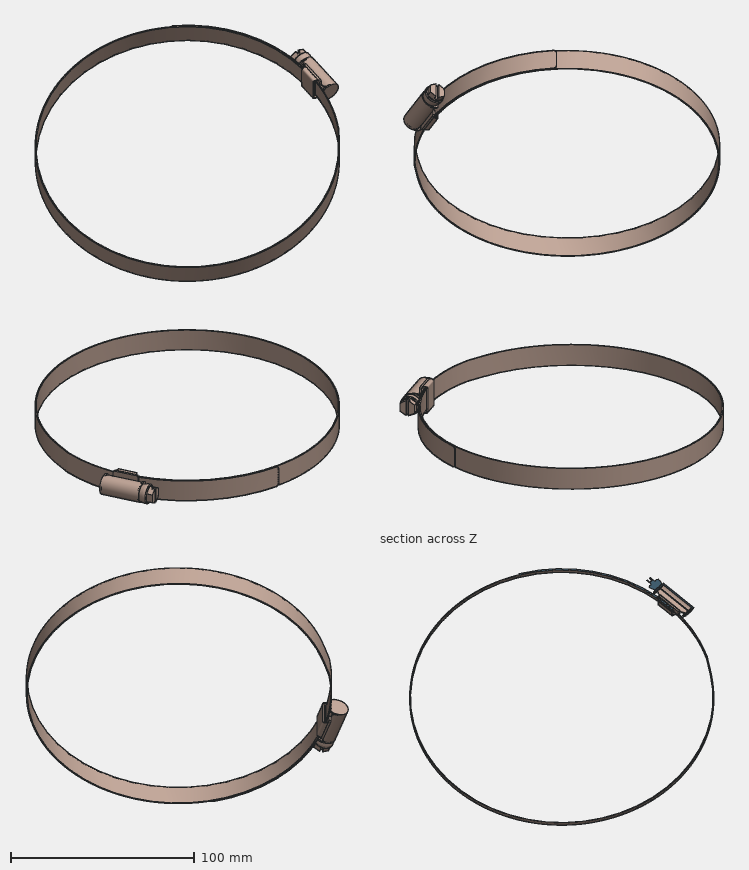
import cadquery as cq
import math

BAND_RADIUS = 83.0
BAND_THICKNESS = 0.6
BAND_WIDTH = 12.4
LAP_GAP = 0.05
STEP_START_ANGLE = 55.0
TAIL_ANGLE = 150.0
TAIL_CORNER_RADIUS = 1.8

AXIS_Y = 88.1
HEX_START_X = -19.0
HEX_ACROSS_FLATS = 8.5
SLOT_WIDTH = 1.6
SLOT_DEPTH = 1.8
RIM_START_X = -15.7
RIM_END_X = -13.8
RIM_RADIUS = 5.5
RIM_CHAMFER = 0.5
NECK_RADIUS = 5.0
SHANK_RADIUS = 4.0

HOUSING_START_X = -11.3
HOUSING_END_X = 11.7
BARREL_RADIUS = 5.57
BARREL_WALL = 0.7
BARREL_BOTTOM_Y = 85.2
BARREL_BOTTOM_LENGTH = 18.0
BEVEL_TOP_Y = 86.5
END_WALL = 0.9
END_WALL_BOTTOM_Y = 83.85
END_WALL_BOTTOM_HALF = 4.6
END_WALL_SIDE_Y = 85.5
TAB_BOTTOM_Y = 84.0
TAB_LENGTH = 14.8
TAB_HALF_WIDTH = 8.0
TAB_CHAMFER = 0.7
CLIP_BOTTOM_Y = 81.1
CLIP_HALF_WIDTH = 8.05
CLIP_WALL = 0.7
CLIP_CORNER_RADIUS = 1.0
CLIP_BOTTOM_HALF = 5.1
CLIP_TOP_HALF = 6.0

LAP_RADIUS = BAND_RADIUS + BAND_THICKNESS + LAP_GAP
STEP_ANGLE = math.degrees(math.acos(BAND_RADIUS / LAP_RADIUS))
BAND_START_ANGLE = math.degrees(math.acos(CLIP_BOTTOM_HALF / BAND_RADIUS))

HOUSING_MID_X = (HOUSING_START_X + HOUSING_END_X) / 2
SHANK_END_X = HOUSING_END_X - END_WALL


def polar(radius, angle):
    return (radius * math.cos(math.radians(angle)), radius * math.sin(math.radians(angle)))


def x_cylinder(radius, start_x, end_x):
    """Round bar on the screw axis."""
    return (
        cq.Workplane("YZ", origin=(start_x, AXIS_Y, 0))
        .circle(radius)
        .extrude(end_x - start_x)
    )


def make_band():
    step_start = STEP_START_ANGLE + 360
    step_end = step_start + STEP_ANGLE
    tail = TAIL_ANGLE + 360
    ring_middle = (BAND_START_ANGLE + step_start) / 2
    lap_middle = (step_end + tail) / 2
    inner = BAND_RADIUS - BAND_THICKNESS
    lap_inner = LAP_RADIUS - BAND_THICKNESS

    strip = (
        cq.Workplane("XY", origin=(0, 0, -BAND_WIDTH / 2))
        .moveTo(*polar(BAND_RADIUS, BAND_START_ANGLE))
        .threePointArc(polar(BAND_RADIUS, ring_middle), polar(BAND_RADIUS, step_start))
        .lineTo(*polar(LAP_RADIUS, step_end))
        .threePointArc(polar(LAP_RADIUS, lap_middle), polar(LAP_RADIUS, tail))
        .lineTo(*polar(lap_inner, tail))
        .threePointArc(polar(lap_inner, lap_middle), polar(lap_inner, step_end))
        .lineTo(*polar(inner, step_start))
        .threePointArc(polar(inner, ring_middle), polar(inner, BAND_START_ANGLE))
        .close()
        .extrude(BAND_WIDTH)
    )
    tail_middle = polar(LAP_RADIUS - BAND_THICKNESS / 2, TAIL_ANGLE)
    corners = [(*tail_middle, side * BAND_WIDTH / 2) for side in (-1, 1)]
    for corner in corners:
        strip = strip.edges(cq.NearestToPointSelector(corner)).fillet(TAIL_CORNER_RADIUS)
    return strip.solids()


def make_screw():
    hex_circle = HEX_ACROSS_FLATS / math.cos(math.pi / 6)
    hex_head = (
        cq.Workplane("YZ", origin=(HEX_START_X, AXIS_Y, 0))
        .transformed(rotate=(0, 0, 90))
        .polygon(6, hex_circle)
        .extrude(RIM_START_X - HEX_START_X)
    )
    slot = cq.Workplane("XY").box(2 * SLOT_DEPTH, SLOT_WIDTH, 2 * hex_circle)
    slot = slot.translate((HEX_START_X, AXIS_Y, 0))
    profile = [
        (RIM_START_X, 0),
        (RIM_START_X, RIM_RADIUS - RIM_CHAMFER),
        (RIM_START_X + RIM_CHAMFER, RIM_RADIUS),
        (RIM_END_X, RIM_RADIUS),
        (HOUSING_START_X, NECK_RADIUS),
        (HOUSING_START_X, SHANK_RADIUS),
        (SHANK_END_X, SHANK_RADIUS),
        (SHANK_END_X, 0),
    ]
    turned = cq.Workplane("XY").polyline(profile).close().revolve(360, (0, 0, 0), (1, 0, 0))
    return hex_head.cut(slot).union(turned.translate((0, AXIS_Y, 0))).solids()


def make_barrel():
    """Open-bottomed tube between the end walls, with sloped lower corners."""
    start_x = HOUSING_START_X + END_WALL
    end_x = HOUSING_END_X - END_WALL
    tube = x_cylinder(BARREL_RADIUS, start_x, end_x)
    bore = x_cylinder(BARREL_RADIUS - BARREL_WALL, start_x, end_x)
    bottom_half = BARREL_BOTTOM_LENGTH / 2
    top_y = AXIS_Y + BARREL_RADIUS
    side_shape = (
        cq.Workplane("XY", origin=(0, 0, -BARREL_RADIUS))
        .polyline([
            (start_x, top_y),
            (end_x, top_y),
            (end_x, BEVEL_TOP_Y),
            (HOUSING_MID_X + bottom_half, BARREL_BOTTOM_Y),
            (HOUSING_MID_X - bottom_half, BARREL_BOTTOM_Y),
            (start_x, BEVEL_TOP_Y),
        ])
        .close()
        .extrude(2 * BARREL_RADIUS)
    )
    return tube.cut(bore).intersect(side_shape)


def make_end_wall(start_x):
    """Arched wall that closes one end of the barrel."""
    return (
        cq.Workplane("YZ", origin=(start_x, 0, 0))
        .moveTo(AXIS_Y, -BARREL_RADIUS)
        .threePointArc((AXIS_Y + BARREL_RADIUS, 0), (AXIS_Y, BARREL_RADIUS))
        .lineTo(END_WALL_SIDE_Y, BARREL_RADIUS)
        .lineTo(END_WALL_BOTTOM_Y, END_WALL_BOTTOM_HALF)
        .lineTo(END_WALL_BOTTOM_Y, -END_WALL_BOTTOM_HALF)
        .lineTo(END_WALL_SIDE_Y, -BARREL_RADIUS)
        .close()
        .extrude(END_WALL)
    )


def make_tabs():
    """Flat tabs on both sides of the barrel, above the clip."""
    thickness = BARREL_BOTTOM_Y - TAB_BOTTOM_Y
    plate = (
        cq.Workplane("XY")
        .box(TAB_LENGTH, thickness, 2 * TAB_HALF_WIDTH)
        .edges("|Y")
        .chamfer(TAB_CHAMFER)
        .translate((0, TAB_BOTTOM_Y + thickness / 2, 0))
    )
    opening = cq.Workplane("XY").box(TAB_LENGTH, BAND_RADIUS, 2 * SHANK_RADIUS)
    return plate.cut(opening.translate((0, BAND_RADIUS, 0)))


def make_clip():
    """U-shaped strap that passes under the band and meets the tabs."""
    height = TAB_BOTTOM_Y - CLIP_BOTTOM_Y
    inner_half = CLIP_HALF_WIDTH - CLIP_WALL
    outside = (
        cq.Workplane("XY")
        .box(2 * CLIP_TOP_HALF, height, 2 * CLIP_HALF_WIDTH)
        .edges("|X and <Y")
        .fillet(CLIP_CORNER_RADIUS)
    )
    channel = (
        cq.Workplane("XY")
        .box(2 * CLIP_TOP_HALF, height, 2 * inner_half)
        .edges("|X and <Y")
        .fillet(CLIP_CORNER_RADIUS - CLIP_WALL)
        .translate((0, CLIP_WALL, 0))
    )
    strap = outside.cut(channel).translate((0, CLIP_BOTTOM_Y + height / 2, 0))
    side_shape = (
        cq.Workplane("XY", origin=(0, 0, -CLIP_HALF_WIDTH))
        .polyline([
            (-CLIP_TOP_HALF, TAB_BOTTOM_Y),
            (CLIP_TOP_HALF, TAB_BOTTOM_Y),
            (CLIP_BOTTOM_HALF, CLIP_BOTTOM_Y),
            (-CLIP_BOTTOM_HALF, CLIP_BOTTOM_Y),
        ])
        .close()
        .extrude(2 * CLIP_HALF_WIDTH)
    )
    return strap.intersect(side_shape)


def make_housing():
    shank_hole = x_cylinder(SHANK_RADIUS, HOUSING_START_X, SHANK_END_X)
    housing = make_barrel()
    for wall_x in (HOUSING_START_X, HOUSING_END_X - END_WALL):
        housing = housing.union(make_end_wall(wall_x))
    return housing.union(make_tabs()).union(make_clip()).cut(shank_hole).solids()


band = make_band()
screw = make_screw()
housing = make_housing()

result = cq.Compound.makeCompound([band.val(), screw.val(), housing.val()])